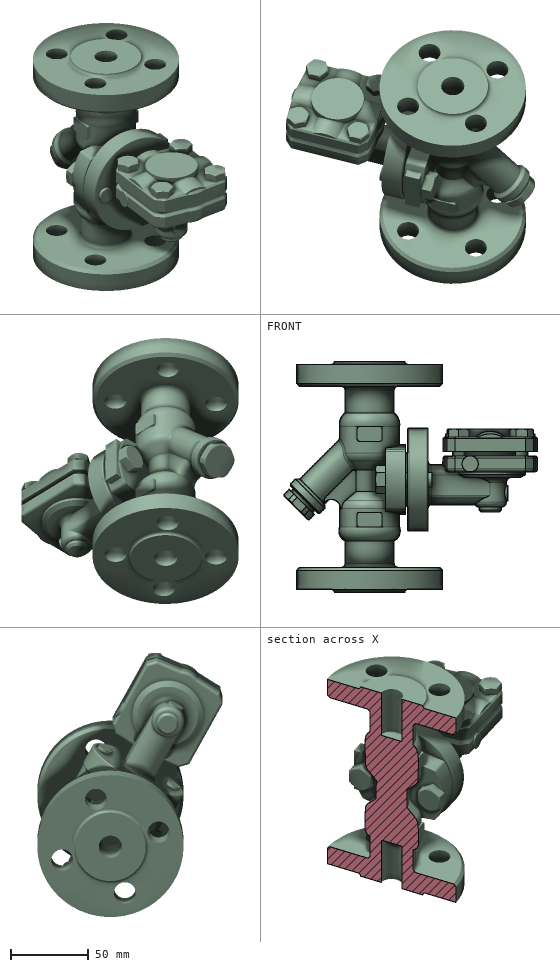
import cadquery as cq
import math

total_height = 150.0
pipe_flange_dia = 95.0
pipe_flange_thickness = 14.3
raised_face_dia = 45.8
raised_face_height = 2.0
bolt_circle_dia = 65.3
bolt_hole_dia = 14.2
bore_dia = 15.0
neck_dia = 32.0
neck_fillet = 2.5
flange_chamfer = 2.0
body_dia = 39.0
bulge_dia = 39.9
bulge_height = 35.3
shoulder_dia = 37.3
shoulder_height = 38.3
waist_dia = 23.1
body_outer_end = 41.5
body_cylinder_end = 32.6
upper_body_start = 15.5
lower_body_start = 20.6
body_round = 7.3

pad_width = 16.0
pad_height = 9.5
pad_reach = 20.0
pad_corner = 1.3

strainer_dia = 23.0
strainer_axis_height = 27.7
strainer_length = 52.6
collar_taper_length = 2.0
collar_dia = 27.0
collar_end = 60.0
collar_chamfer = 0.8
strainer_blend = 2.3
plug_neck_dia = 19.8
plug_start = 62.2
plug_end = 67.6
plug_across_flats = 21.6
plug_corner_dia = 23.2
plug_chamfer = 0.5
web_thickness = 14.8
web_round = 5.0

joint_height = -1.8
oval_start = 10.4
oval_end = 23.4
oval_radius = 32.6
oval_half_height = 22.8
oval_slope = 0.13
oval_corner = 2.5
tag_reach = 34.0
tag_height = 30.2
tag_width = 9.5
trap_flange_start = 24.7
trap_flange_end = 38.1
trap_flange_dia = 67.0
trap_flange_fillet = 0.8
joint_face_dia = 35.0
joint_bolt_dia = 9.5
joint_bolt_offset = 25.4
joint_bolt_end = 40.4
joint_head_height = 6.6
joint_head_across_flats = 15.8

trap_x = 78.3
cover_bottom = 16.3
cover_top = 25.9
cover_boss_top = 31.2
cover_boss_dia = 34.0
body_top = 13.5
body_bottom = 3.3
trap_edge_chamfer = 1.2
trap_bottom_fillet = 2.0
trap_half_width = 28.2
trap_half_length = 28.0
trap_side_reach = 30.8
trap_side_shoulder = 29.5
trap_side_half_bow = 6.0
trap_corner_cut = 5.1
gasket_dia = 33.0
stud_dia = 8.0
stud_offset = 20.5
cover_head_across_flats = 13.0
rib_inner_half_width = 9.5
rib_outer_half_width = 7.9
rib_inner_height = 4.3
rib_outer_height = 2.0
rib_start = 13.2
bowl_dia = 45.8
bowl_bottom_dia = 39.0
bowl_bottom = -0.5
column_dia = 21.0
column_bottom = -19.6
column_fillet = 3.3
drain_dia = 14.5
drain_bottom = -23.0
drain_chamfer = 1.5
arm_top = 7.9
arm_bottom = -18.1
arm_side_top = 2.0
arm_side_bottom = -12.9
arm_corner = 2.5
arm_fillet = 2.0
side_disc_dia = 10.0
side_disc_reach = 11.4
side_disc_height = -10.5
name_disc_dia = 10.5
name_disc_proud = 0.7
name_disc_x = 65.3
name_disc_height = 8.4

overlap = 1.6
head_chamfer = 0.7
margin = 0.2


def hex_prism(across_flats, corner_dia, height, chamfer):
    """Hexagon along +Z with corners on X, cut by a cylinder whose far edge is chamfered."""
    corner_to_corner = across_flats / math.cos(math.pi / 6)
    radial_chamfer = (corner_dia - across_flats) / 2 + margin
    envelope = cq.Workplane().circle(corner_dia / 2).extrude(height)
    envelope = envelope.faces(">Z").chamfer(chamfer, radial_chamfer)
    return cq.Workplane().polygon(6, corner_to_corner).extrude(height).intersect(envelope)


def bolt_head(across_flats, height):
    return hex_prism(across_flats, across_flats / math.cos(math.pi / 6), height, head_chamfer)


def rod_along_x(dia, start, end, y, z):
    return cq.Workplane("YZ", origin=(start, y, z)).circle(dia / 2).extrude(end - start)


half_height = total_height / 2
flange_outer = half_height - raised_face_height
flange_inner = flange_outer - pipe_flange_thickness


def pipe_body():
    """Revolved neck, upper body, waist, lower body and neck."""
    neck_r = neck_dia / 2
    body_r = body_dia / 2
    waist_r = waist_dia / 2
    diagonal = math.sqrt(0.5)
    cone_r = body_r - body_round * (1 - diagonal)
    arc_half_r = body_r - body_round * (1 - math.cos(math.pi / 8))
    arc_half_drop = body_round * math.sin(math.pi / 8)
    upper_cone = upper_body_start - body_round * diagonal
    lower_cone = -lower_body_start + body_round * diagonal
    profile = (
        cq.Workplane("XZ")
        .moveTo(0, -flange_inner)
        .lineTo(neck_r, -flange_inner)
        .lineTo(neck_r, -body_outer_end)
        .threePointArc((bulge_dia / 2, -bulge_height), (body_r, -body_cylinder_end))
        .lineTo(body_r, -lower_body_start)
        .threePointArc((arc_half_r, arc_half_drop - lower_body_start), (cone_r, lower_cone))
        .lineTo(waist_r, lower_cone + cone_r - waist_r)
        .lineTo(waist_r, upper_cone - cone_r + waist_r)
        .lineTo(cone_r, upper_cone)
        .threePointArc((arc_half_r, upper_body_start - arc_half_drop), (body_r, upper_body_start))
        .lineTo(body_r, body_cylinder_end)
        .threePointArc((shoulder_dia / 2, shoulder_height), (neck_r, body_outer_end))
        .lineTo(neck_r, flange_inner)
        .lineTo(0, flange_inner)
        .close()
    )
    return profile.revolve(360, (0, 0, 0), (0, 1, 0))


def pipe_flange():
    """Top pipe flange with its concave-edged raised face and the blend to the neck."""
    flange_r = pipe_flange_dia / 2
    face_r = raised_face_dia / 2
    neck_r = neck_dia / 2
    diagonal = 1 - math.sqrt(0.5)
    profile = (
        cq.Workplane("XZ")
        .moveTo(0, half_height)
        .lineTo(face_r, half_height)
        .threePointArc(
            (face_r + raised_face_height * diagonal, flange_outer + raised_face_height * diagonal),
            (face_r + raised_face_height, flange_outer),
        )
        .lineTo(flange_r, flange_outer)
        .lineTo(flange_r, flange_inner + flange_chamfer)
        .lineTo(flange_r - flange_chamfer, flange_inner)
        .lineTo(neck_r + neck_fillet, flange_inner)
        .threePointArc(
            (neck_r + neck_fillet * diagonal, flange_inner - neck_fillet * diagonal),
            (neck_r, flange_inner - neck_fillet),
        )
        .lineTo(0, flange_inner - neck_fillet)
        .close()
    )
    flange = profile.revolve(360, (0, 0, 0), (0, 1, 0))
    holes = (
        cq.Workplane("XY", origin=(0, 0, flange_inner))
        .polarArray(bolt_circle_dia / 2, 45, 360, 4)
        .circle(bolt_hole_dia / 2)
        .extrude(pipe_flange_thickness)
    )
    return flange.cut(holes)


strainer_plane = cq.Plane(
    origin=(0, 0, strainer_axis_height), xDir=(1, 0, -1), normal=(-1, 0, -1)
)


def strainer_tube():
    return cq.Workplane(strainer_plane).circle(strainer_dia / 2).extrude(strainer_length)


def strainer_end():
    """Tapered collar, short neck and hexagonal plug at the end of the strainer."""
    collar_r = collar_dia / 2
    plug_neck_r = plug_neck_dia / 2
    profile = (
        cq.Workplane("XZ")
        .moveTo(0, strainer_length - overlap)
        .lineTo(strainer_dia / 2, strainer_length - overlap)
        .lineTo(strainer_dia / 2, strainer_length)
        .lineTo(collar_r, strainer_length + collar_taper_length)
        .lineTo(collar_r, collar_end - collar_chamfer)
        .lineTo(collar_r - collar_chamfer, collar_end)
        .lineTo(plug_neck_r, collar_end)
        .lineTo(plug_neck_r, plug_start)
        .lineTo(0, plug_start)
        .close()
    )
    turned = profile.revolve(360, (0, 0, 0), (0, 1, 0))
    plug = hex_prism(plug_across_flats, plug_corner_dia, plug_end - plug_start, plug_chamfer)
    end = turned.union(plug.translate((0, 0, plug_start)))
    return cq.Workplane(end.val().moved(cq.Location(strainer_plane)))


def strainer_web():
    """Web that fills the angle between the strainer and the lower body."""
    tube_end = (-30.0, -17.5)
    arc_middle = (-23.5, -14.8)
    body_end = (-18.8, -20.8)
    inner_x = -6.6
    inner_top = 5.0
    tube_inside = (-24.7, 1.6)
    rounded_edge = (arc_middle[0], web_thickness / 2, arc_middle[1])
    return (
        cq.Workplane("XZ", origin=(0, web_thickness / 2, 0))
        .moveTo(*tube_end)
        .threePointArc(arc_middle, body_end)
        .lineTo(inner_x, body_end[1])
        .lineTo(inner_x, inner_top)
        .lineTo(*tube_inside)
        .close()
        .extrude(web_thickness)
        .edges(cq.selectors.NearestToPointSelector(rounded_edge))
        .fillet(web_round)
    )


def body_pad(center_height):
    """Flat pad through the body, standing proud at the front and the back."""
    return (
        cq.Workplane("XY")
        .box(pad_width, 2 * pad_reach, pad_height)
        .edges("|Y")
        .fillet(pad_corner)
        .translate((0, 0, center_height))
    )


def oval_flange():
    """Flange with round sides and roof-shaped top and bottom, plus the tag pad on its +Y side."""
    length = oval_end - oval_start
    side_half_height = oval_half_height - oval_slope * oval_radius
    plate = cq.Workplane("YZ", origin=(oval_start, 0, joint_height))
    roof = (
        plate.polyline(
            [
                (0, oval_half_height),
                (oval_radius, side_half_height),
                (oval_radius, -side_half_height),
                (0, -oval_half_height),
                (-oval_radius, -side_half_height),
                (-oval_radius, side_half_height),
            ]
        )
        .close()
        .extrude(length)
    )
    flange = plate.circle(oval_radius).extrude(length).intersect(roof)
    corner_y = oval_radius / 2
    corners = cq.selectors.BoxSelector(
        (0, -oval_radius, -oval_radius), (oval_end, -corner_y, oval_radius)
    ) + cq.selectors.BoxSelector(
        (0, corner_y, -oval_radius), (oval_end, oval_radius, oval_radius)
    )
    flange = flange.edges("|X").edges(corners).fillet(oval_corner)
    tag_depth = tag_reach - joint_bolt_offset
    tag = cq.Workplane("XY").box(tag_width, tag_depth, tag_height).translate(
        ((oval_start + oval_end) / 2, tag_reach - tag_depth / 2, joint_height)
    )
    return flange.union(tag)


def bore():
    depth = half_height - body_outer_end
    return cq.Workplane("XY", origin=(0, 0, body_outer_end)).circle(bore_dia / 2).extrude(depth)


def make_connector():
    tube_crossing = cq.selectors.BoxSelector(
        (-body_dia / 2 - overlap, -waist_dia, -overlap),
        (overlap - waist_dia / 2, waist_dia, body_cylinder_end),
    )
    connector = pipe_body().union(strainer_tube()).edges(tube_crossing).fillet(strainer_blend)
    connector = connector.union(strainer_end()).union(strainer_web())
    connector = connector.union(oval_flange())
    pad_center = body_cylinder_end - pad_height / 2
    for height in (pad_center, -pad_center):
        connector = connector.union(body_pad(height))
    flange = pipe_flange()
    connector = connector.union(flange).union(flange.mirror("XY"))
    connector = connector.cut(bore()).cut(bore().mirror("XY"))
    for side in (-1, 1):
        y = side * joint_bolt_offset
        connector = connector.cut(
            rod_along_x(joint_bolt_dia, oval_start, oval_end, y, joint_height)
        )
    return connector


def trap_outline(bottom):
    """Square with cut corners whose -X and +X sides bow outwards, ready to extrude."""
    corner_x = trap_half_length - trap_corner_cut
    corner_y = trap_half_width - trap_corner_cut
    return (
        cq.Workplane("XY", origin=(trap_x, 0, bottom))
        .moveTo(-corner_x, -trap_half_width)
        .lineTo(corner_x, -trap_half_width)
        .lineTo(trap_half_length, -corner_y)
        .lineTo(trap_side_shoulder, -trap_side_half_bow)
        .threePointArc((trap_side_reach, 0), (trap_side_shoulder, trap_side_half_bow))
        .lineTo(trap_half_length, corner_y)
        .lineTo(corner_x, trap_half_width)
        .lineTo(-corner_x, trap_half_width)
        .lineTo(-trap_half_length, corner_y)
        .lineTo(-trap_side_shoulder, trap_side_half_bow)
        .threePointArc((-trap_side_reach, 0), (-trap_side_shoulder, -trap_side_half_bow))
        .lineTo(-trap_half_length, -corner_y)
        .close()
    )


def cover_rib(reach):
    """Rounded rib along +X that falls and narrows from the boss to the cover's edge."""
    return (
        cq.Workplane("YZ", origin=(rib_start, 0, cover_top - overlap))
        .moveTo(-rib_inner_half_width, 0)
        .lineTo(-rib_inner_half_width, overlap)
        .threePointArc((0, overlap + rib_inner_height), (rib_inner_half_width, overlap))
        .lineTo(rib_inner_half_width, 0)
        .close()
        .workplane(offset=reach - rib_start)
        .moveTo(-rib_outer_half_width, 0)
        .lineTo(-rib_outer_half_width, overlap)
        .threePointArc((0, overlap + rib_outer_height), (rib_outer_half_width, overlap))
        .lineTo(rib_outer_half_width, 0)
        .close()
        .loft()
    )


def trap_cover():
    cover = trap_outline(cover_bottom).extrude(cover_top - cover_bottom)
    cover = cover.faces(">Z").chamfer(trap_edge_chamfer)
    for quarter in range(4):
        along_x = quarter % 2 == 0
        reach = (trap_side_shoulder if along_x else trap_half_width) - trap_edge_chamfer / 2
        rib = cover_rib(reach).rotate((0, 0, 0), (0, 0, 1), 90 * quarter)
        cover = cover.union(rib.translate((trap_x, 0, 0)))
    boss = (
        cq.Workplane("XY", origin=(trap_x, 0, cover_bottom))
        .circle(cover_boss_dia / 2)
        .extrude(cover_boss_top - cover_bottom)
    )
    return cover.union(boss)


def cover_bolt(x_side, y_side):
    """Cover bolt; the heads of diagonal pairs are turned alike."""
    turn = 0 if x_side * y_side < 0 else 30
    head = bolt_head(cover_head_across_flats, cover_boss_top - cover_top)
    head = head.rotate((0, 0, 0), (0, 0, 1), turn).translate((0, 0, cover_top))
    stud = (
        cq.Workplane("XY", origin=(0, 0, body_top - overlap))
        .circle(stud_dia / 2)
        .extrude(cover_top - body_top + 2 * overlap)
    )
    return head.union(stud).translate((trap_x + x_side * stud_offset, y_side * stud_offset, 0))


def trap_plate():
    """Lower plate of the trap with the gasket ring above it and the disc on its front."""
    plate = trap_outline(body_bottom).extrude(body_top - body_bottom)
    plate = plate.faces(">Z").chamfer(trap_edge_chamfer)
    plate = plate.faces("<Z").edges().fillet(trap_bottom_fillet)
    gasket = (
        cq.Workplane("XY", origin=(trap_x, 0, body_top - overlap))
        .circle(gasket_dia / 2)
        .extrude(cover_bottom - body_top + 2 * overlap)
    )
    name_disc = (
        cq.Workplane("XZ", origin=(name_disc_x, -trap_half_width + overlap, name_disc_height))
        .circle(name_disc_dia / 2)
        .extrude(overlap + name_disc_proud)
    )
    return plate.union(gasket).union(name_disc)


def trap_bowl():
    """Bowl under the plate and the column with its drain boss, turned about the trap's axis."""
    bowl_r = bowl_dia / 2
    column_r = column_dia / 2
    drain_r = drain_dia / 2
    rounding = column_fillet * math.sqrt(0.5)
    profile = (
        cq.Workplane("XZ")
        .moveTo(0, body_bottom + overlap)
        .lineTo(bowl_r, body_bottom + overlap)
        .lineTo(bowl_r, bowl_bottom + trap_bottom_fillet)
        .lineTo(bowl_bottom_dia / 2, bowl_bottom)
        .lineTo(column_r + column_fillet, bowl_bottom)
        .threePointArc(
            (column_r + column_fillet - rounding, bowl_bottom - column_fillet + rounding),
            (column_r, bowl_bottom - column_fillet),
        )
        .lineTo(column_r, column_bottom + column_fillet)
        .threePointArc(
            (column_r - column_fillet + rounding, column_bottom + column_fillet - rounding),
            (column_r - column_fillet, column_bottom),
        )
        .lineTo(drain_r, column_bottom)
        .lineTo(drain_r, drain_bottom + drain_chamfer)
        .lineTo(drain_r - drain_chamfer, drain_bottom)
        .lineTo(0, drain_bottom)
        .close()
    )
    bowl = profile.revolve(360, (0, 0, 0), (0, 1, 0)).translate((trap_x, 0, 0))
    side_disc = rod_along_x(side_disc_dia, trap_x, trap_x + side_disc_reach, 0, side_disc_height)
    return bowl.union(side_disc)


def trap_arm():
    """Flange on the joint with its raised face, and the arm that carries the trap."""
    joint = cq.Workplane("YZ", origin=(trap_flange_start, 0, joint_height))
    flange = joint.circle(trap_flange_dia / 2).extrude(trap_flange_end - trap_flange_start)
    flange = flange.edges().fillet(trap_flange_fillet)
    face = rod_along_x(joint_face_dia, oval_end, trap_flange_start + overlap, 0, joint_height)
    arm_r = column_dia / 2
    arm_length = trap_x - trap_flange_end
    arm = (
        cq.Workplane("YZ", origin=(trap_flange_end, 0, 0))
        .moveTo(arm_r, arm_side_bottom)
        .lineTo(arm_r, arm_side_top)
        .threePointArc((0, arm_top), (-arm_r, arm_side_top))
        .lineTo(-arm_r, arm_side_bottom)
        .threePointArc((0, arm_bottom), (arm_r, arm_side_bottom))
        .close()
        .extrude(arm_length)
        .edges("|X")
        .fillet(arm_corner)
    )
    root = cq.selectors.BoxSelector(
        (trap_flange_end - margin, -column_dia, arm_bottom - overlap),
        (trap_flange_end + margin, column_dia, arm_top + overlap),
    )
    return flange.union(arm).edges(root).fillet(arm_fillet).union(face)


def joint_bolt(side):
    """Bolt through both joint flanges, with its head on the connector's side."""
    y = side * joint_bolt_offset
    shank = rod_along_x(joint_bolt_dia, oval_start, joint_bolt_end, y, joint_height)
    head = bolt_head(joint_head_across_flats, joint_head_height)
    head = head.rotate((0, 0, 0), (0, 1, 0), -90)
    return shank.union(head.translate((oval_start, y, joint_height)))


def make_trap():
    trap = trap_plate().union(trap_bowl()).union(trap_arm()).union(trap_cover())
    for x_side in (-1, 1):
        for y_side in (-1, 1):
            trap = trap.union(cover_bolt(x_side, y_side))
    for side in (-1, 1):
        trap = trap.union(joint_bolt(side))
    return trap


connector = make_connector()
trap = make_trap()
result = cq.Compound.makeCompound([connector.val(), trap.val()])